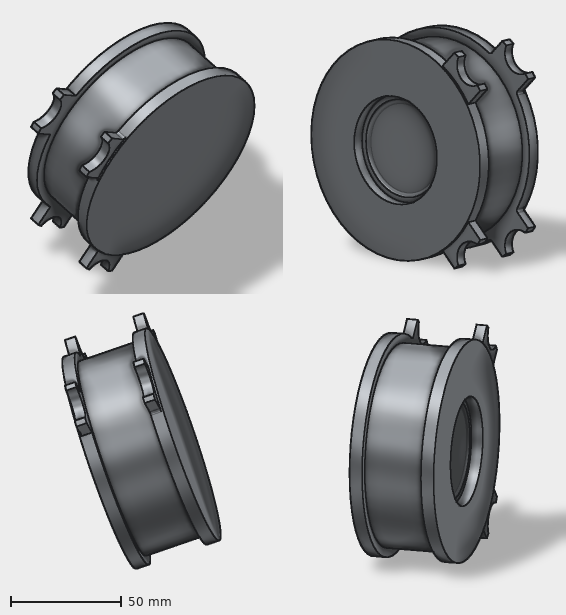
import cadquery as cq
import math

width = 40.0
flange_thickness = 6.0
flange_radius = 102.0 / 2
drum_radius = 93.58 / 2

recess_radius = 50.0 / 2
recess_depth = 5.4
pocket_radius = 45.2 / 2
pocket_depth = 1.0
pocket_floor_radius = 41.2 / 2

lug_thickness = 5.0
lug_width = 22.0
lug_tip_radius = 61.0
lug_root_radius = 48.0
notch_radius = 17.1 / 2
notch_center_radius = 63.3
lug_angles = (45.0, -45.0)
lug_root_fillet = 1.5

left_face = -width / 2
right_face = width / 2
left_lug_start = left_face + flange_thickness - lug_thickness
right_lug_start = right_face - flange_thickness


def disk(radius, start, length):
    """Cylinder about the X axis, running towards +X from `start`."""
    return cq.Workplane("YZ", origin=(start, 0, 0)).circle(radius).extrude(length)


def spool_body():
    """Drum and both flanges as one revolved half profile."""
    left_shoulder = left_face + flange_thickness
    right_shoulder = right_face - flange_thickness
    profile = [
        (left_face, 0),
        (left_face, flange_radius),
        (left_shoulder, flange_radius),
        (left_shoulder, drum_radius),
        (right_shoulder, drum_radius),
        (right_shoulder, flange_radius),
        (right_face, flange_radius),
        (right_face, 0),
    ]
    return cq.Workplane("XY").polyline(profile).close().revolve(360, (0, 0, 0), (1, 0, 0))


def recess():
    """Material removed from the -X face: a shallow step and a dished pocket.

    The pocket wall is an arc that runs tangentially into the pocket floor.
    """
    step_floor = left_face + recess_depth
    pocket_floor = step_floor + pocket_depth
    wall_run = pocket_radius - pocket_floor_radius
    wall_arc_radius = (wall_run**2 + pocket_depth**2) / (2 * pocket_depth)
    half_sweep = math.atan2(pocket_depth, wall_run)
    wall_middle = (
        pocket_floor - wall_arc_radius * (1 - math.cos(half_sweep)),
        pocket_floor_radius + wall_arc_radius * math.sin(half_sweep),
    )
    return (
        cq.Workplane("XY")
        .moveTo(left_face, 0)
        .lineTo(left_face, recess_radius)
        .lineTo(step_floor, recess_radius)
        .lineTo(step_floor, pocket_radius)
        .threePointArc(wall_middle, (pocket_floor, pocket_floor_radius))
        .lineTo(pocket_floor, 0)
        .close()
        .revolve(360, (0, 0, 0), (1, 0, 0))
    )


def root_fillet(side):
    """Solid filling the corner between a lug side and the flange rim.

    `side` is +1 or -1. The arc touches the lug side and the flange rim.
    """
    half_width = lug_width / 2
    center_z = half_width + lug_root_fillet
    center_reach = flange_radius + lug_root_fillet
    center_y = -math.sqrt(center_reach**2 - center_z**2)
    touch = flange_radius / center_reach
    block = (
        cq.Workplane("YZ", origin=(right_lug_start, 0, 0))
        .moveTo(center_y, side * half_width)
        .lineTo(-lug_root_radius, side * half_width)
        .lineTo(touch * center_y, side * touch * center_z)
        .lineTo(center_y, side * center_z)
        .close()
        .extrude(lug_thickness)
    )
    rounding = (
        cq.Workplane("YZ", origin=(right_lug_start, 0, 0))
        .center(center_y, side * center_z)
        .circle(lug_root_fillet)
        .extrude(lug_thickness)
    )
    return block.cut(rounding)


def lug(start, filleted):
    """Forked lug pointing along -Y, with its end rounded about the spool axis."""
    length = lug_tip_radius - lug_root_radius
    blank = (
        cq.Workplane("YZ", origin=(start, 0, 0))
        .center(-lug_root_radius - length / 2, 0)
        .rect(length, lug_width)
        .extrude(lug_thickness)
        .intersect(disk(lug_tip_radius, start, lug_thickness))
    )
    notch = disk(notch_radius, start, lug_thickness).translate((0, -notch_center_radius, 0))
    blank = blank.cut(notch)
    if filleted:
        for side in (1, -1):
            blank = blank.union(root_fillet(side))
    return blank


def place(shape, angle):
    """Turn a lug from -Y towards +Z about the spool axis."""
    return shape.rotate((0, 0, 0), (1, 0, 0), -angle)


result = spool_body()
for lug_angle in lug_angles:
    result = result.union(place(lug(left_lug_start, False), lug_angle))
    result = result.union(place(lug(right_lug_start, True), lug_angle))
result = result.cut(recess())